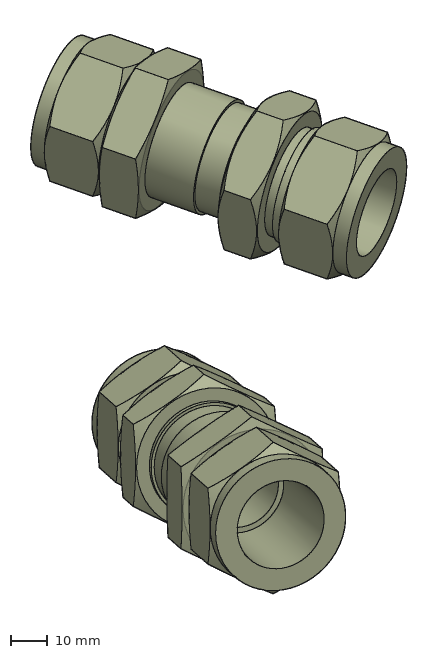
import cadquery as cq
import math

length = 95.75
end_x = length / 2
body_shoulder = 0.4
washer_start = 8.1
jam_nut_start = 9.6
body_hex_start = -26.3
wide_hex_width = 12.0
coupling_nut_width = 16.5
collar_width = 4.1
neck_length = 3.0

body_diameter = 33.3
thread_diameter = 31.6
wide_hex_flats = 41.3
coupling_nut_flats = 38.1
collar_diameter = 38.0
wide_hex_face_diameter = 40.8
tube_socket_diameter = 25.4
through_bore_diameter = 22.2
tube_socket_depth = 31.2

nut_chamfer_angle = 30
body_hex_chamfer_angle = 15


def cylinder(start, end, diameter):
    """Round bar along X from start to end."""
    return cq.Workplane("YZ", origin=(start, 0, 0)).circle(diameter / 2).extrude(end - start)


def chamfered_hex(start, width, flats, face_diameter, chamfer_angle):
    """Hexagon along X, corners up and down, both ends turned to a cone."""
    corner_radius = flats / math.sqrt(3)
    face_radius = face_diameter / 2
    end = start + width
    chamfer_width = (corner_radius - face_radius) * math.tan(math.radians(chamfer_angle))
    prism = (
        cq.Workplane("YZ", origin=(start, 0, 0))
        .polygon(6, 2 * corner_radius)
        .extrude(width)
        .rotate((0, 0, 0), (1, 0, 0), 90)
    )
    turned_blank = (
        cq.Workplane("XY")
        .moveTo(start, 0)
        .lineTo(start, face_radius)
        .lineTo(start + chamfer_width, corner_radius)
        .lineTo(end - chamfer_width, corner_radius)
        .lineTo(end, face_radius)
        .lineTo(end, 0)
        .close()
        .revolve(360, (0, 0, 0), (1, 0, 0))
    )
    return prism.intersect(turned_blank)


def coupling_nut(start):
    """Hex nut that clamps the tube at one end."""
    return chamfered_hex(
        start, coupling_nut_width, coupling_nut_flats, collar_diameter, nut_chamfer_angle
    )


left_nut_start = -end_x + collar_width
right_nut_start = end_x - collar_width - coupling_nut_width
body = cylinder(-end_x, body_shoulder, body_diameter)
thread = cylinder(body_shoulder, end_x, thread_diameter)
washer = cylinder(washer_start, jam_nut_start, body_diameter)
end_neck = cylinder(right_nut_start - neck_length, right_nut_start, body_diameter)
result = body.union(thread).union(washer).union(end_neck)

body_hex = chamfered_hex(
    body_hex_start, wide_hex_width, wide_hex_flats, wide_hex_face_diameter, body_hex_chamfer_angle
)
jam_nut = chamfered_hex(
    jam_nut_start, wide_hex_width, wide_hex_flats, wide_hex_face_diameter, nut_chamfer_angle
)
result = result.union(body_hex).union(jam_nut)

for nut_start in (left_nut_start, right_nut_start):
    result = result.union(coupling_nut(nut_start))
for collar_start in (-end_x, end_x - collar_width):
    result = result.union(cylinder(collar_start, collar_start + collar_width, collar_diameter))

result = result.cut(cylinder(-end_x, end_x, through_bore_diameter))
for socket_start in (-end_x, end_x - tube_socket_depth):
    socket_end = socket_start + tube_socket_depth
    result = result.cut(cylinder(socket_start, socket_end, tube_socket_diameter))